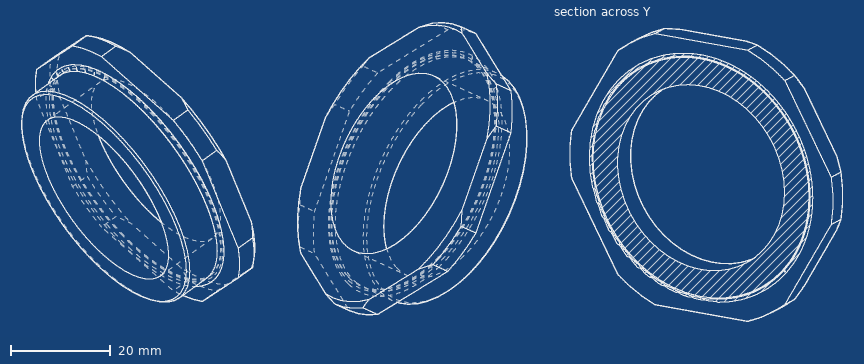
import cadquery as cq
import math

across_flats = 57.0
corner_diameter = 60.9
flange_thickness = 5.0
corner_chamfer_depth = 1.1
corner_chamfer_width = 1.0

total_length = 14.0
spigot_radius = 25.05
spigot_chamfer = 0.5
bore_radius = 19.25
ring_section_radius = 0.7
ring_outer_radius = 26.2

corner_radius = corner_diameter / 2
hexagon_sides = 6
across_corners = across_flats / math.cos(math.pi / hexagon_sides)
spigot_length = total_length - flange_thickness


def revolve_about_y(profile):
    return profile.close().revolve(360, (0, 0, 0), (0, 1, 0))


def make_flange():
    """Hexagon with its corners turned round and chamfered on the +Y face."""
    hexagon = (
        cq.Workplane("XZ")
        .polygon(hexagon_sides, across_corners)
        .extrude(-flange_thickness)
    )
    turned_blank = revolve_about_y(
        cq.Workplane("XY")
        .moveTo(0, 0)
        .lineTo(corner_radius, 0)
        .lineTo(corner_radius, flange_thickness - corner_chamfer_depth)
        .lineTo(corner_radius - corner_chamfer_width, flange_thickness)
        .lineTo(0, flange_thickness)
    )
    return hexagon.intersect(turned_blank)


def make_spigot():
    """Cylinder on the -Y side of the flange with a chamfered free end."""
    return (
        cq.Workplane("XZ")
        .circle(spigot_radius)
        .extrude(spigot_length)
        .faces("<Y")
        .chamfer(spigot_chamfer)
    )


def make_sealing_ring():
    """Round-section ring seated against the flange."""
    section_center_radius = ring_outer_radius - ring_section_radius
    return (
        cq.Workplane("XY")
        .moveTo(-section_center_radius, -ring_section_radius)
        .circle(ring_section_radius)
        .revolve(360, (0, 0, 0), (0, 1, 0))
    )


def make_bore():
    """Through bore along the axis."""
    return (
        cq.Workplane("XZ", origin=(0, flange_thickness, 0))
        .circle(bore_radius)
        .extrude(total_length)
    )


result = make_flange().union(make_spigot()).union(make_sealing_ring()).cut(make_bore())